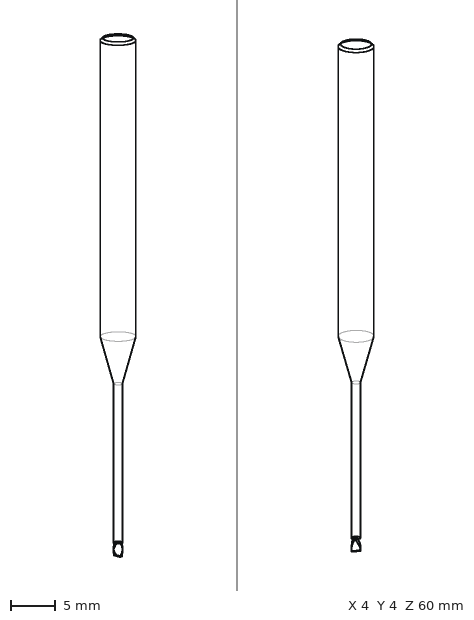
import cadquery as cq
import math

total_length = 60.0
shank_diameter = 4.0
shank_bottom = 25.45
neck_top = 20.0
neck_diameter = 1.0
shank_chamfer = 0.3

head_length = 1.55
head_diameter = 1.0
web_thickness = 0.3
twist_angle = 100.0


def make_shank():
    """Revolve the stepped, tapered profile about Z."""
    shank_radius = shank_diameter / 2
    neck_radius = neck_diameter / 2
    return (
        cq.Workplane("XZ")
        .moveTo(0, head_length)
        .lineTo(neck_radius, head_length)
        .lineTo(neck_radius, neck_top)
        .lineTo(shank_radius, shank_bottom)
        .lineTo(shank_radius, total_length - shank_chamfer)
        .lineTo(shank_radius - shank_chamfer, total_length)
        .lineTo(0, total_length)
        .close()
        .revolve(360, (0, 0, 0), (0, 1, 0))
    )


def make_cutting_head():
    """Twist a flat web with rounded outer lands; the flutes are the open sides."""
    head_radius = head_diameter / 2
    half_web = web_thickness / 2
    land_x = math.sqrt(head_radius**2 - half_web**2)
    return (
        cq.Workplane("XY")
        .moveTo(-land_x, -half_web)
        .lineTo(land_x, -half_web)
        .threePointArc((head_radius, 0), (land_x, half_web))
        .lineTo(-land_x, half_web)
        .threePointArc((-head_radius, 0), (-land_x, -half_web))
        .close()
        .twistExtrude(head_length, twist_angle)
    )


shank = make_shank()
cutting_head = make_cutting_head()

result = cq.Compound.makeCompound([shank.val(), cutting_head.val()])